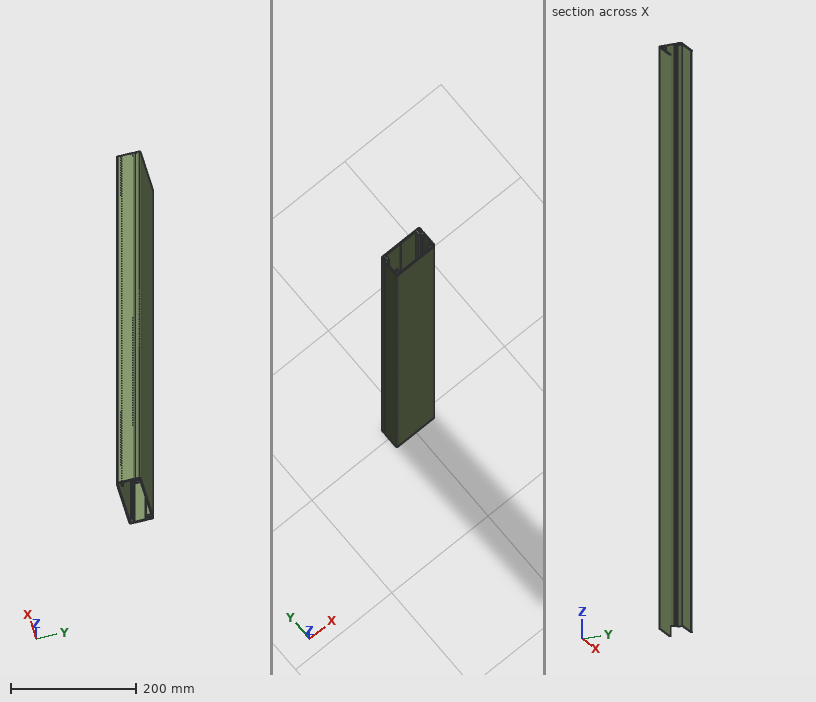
import cadquery as cq

WIDTH = 80.0
DEPTH = 40.0
LENGTH = 1000.0

WALL = 2.0
EDGE_RADIUS = 3.0
HALF_WIDTH = WIDTH / 2
BACK_Y = DEPTH / 2
FRONT_Y = -DEPTH / 2
INNER_X = HALF_WIDTH - WALL

COVER_LEG = 9.0
BEVEL_LENGTH = 3.0
BEVEL_DEPTH = 0.5
JOINT_Y = BACK_Y - COVER_LEG

RIM_WIDTH = 3.0
RIM_TOP_Y = BACK_Y - WALL
RIM_BOTTOM_Y = 7.0
RIM_X = INNER_X - RIM_WIDTH

INNER_LEG_WIDTH = 4.0
INNER_LEG_BOTTOM_Y = 10.0

CENTRE_GROOVE_WIDTH = 1.0
CENTRE_GROOVE_DEPTH = 1.0

LEDGE_WIDTH = 7.0
LEDGE_THICKNESS = 2.0
LEDGE_TOP_Y = -11.0


def bar(x_min, x_max, y_min, y_max):
    """Full-length rectangular bar between the given X and Y limits."""
    return (
        cq.Workplane("XY")
        .box(x_max - x_min, y_max - y_min, LENGTH, centered=False)
        .translate((x_min, y_min, -LENGTH / 2))
    )


def prism(points):
    """Full-length prism with the given XY outline."""
    return cq.Workplane("XY").workplane(offset=-LENGTH / 2).polyline(points).close().extrude(LENGTH)


def both_sides(shape):
    """The shape together with its mirror image across X = 0."""
    return shape.union(shape.mirror("YZ"))


def make_joint_groove():
    """V groove along both sides, shared by the cover legs and the channel sides."""
    return both_sides(prism([
        (HALF_WIDTH, JOINT_Y - BEVEL_LENGTH),
        (HALF_WIDTH - BEVEL_DEPTH, JOINT_Y),
        (HALF_WIDTH, JOINT_Y + BEVEL_LENGTH),
    ]))


def make_centre_groove():
    """V groove on the centreline of the cover's inner face."""
    return prism([
        (-CENTRE_GROOVE_WIDTH / 2, RIM_TOP_Y),
        (CENTRE_GROOVE_WIDTH / 2, RIM_TOP_Y),
        (0, RIM_TOP_Y + CENTRE_GROOVE_DEPTH),
    ])


def make_channel():
    """Open channel with side ledges and thickened rims."""
    outside = bar(-HALF_WIDTH, HALF_WIDTH, FRONT_Y, JOINT_Y).edges("|Z and <Y").fillet(EDGE_RADIUS)
    cavity = bar(-INNER_X, INNER_X, FRONT_Y + WALL, JOINT_Y)
    ledge = bar(INNER_X - LEDGE_WIDTH, INNER_X, LEDGE_TOP_Y - LEDGE_THICKNESS, LEDGE_TOP_Y)
    rim = bar(RIM_X, INNER_X, RIM_BOTTOM_Y, RIM_TOP_Y)
    return (
        outside.cut(cavity)
        .union(both_sides(ledge))
        .union(both_sides(rim))
        .cut(make_joint_groove())
    )


def make_cover():
    """Back cover whose outer and inner legs grip both channel rims between them."""
    outside = bar(-HALF_WIDTH, HALF_WIDTH, JOINT_Y, BACK_Y).edges("|Z and >Y").fillet(EDGE_RADIUS)
    inside = bar(-INNER_X, INNER_X, JOINT_Y, RIM_TOP_Y)
    inner_leg = bar(RIM_X - INNER_LEG_WIDTH, RIM_X, INNER_LEG_BOTTOM_Y, RIM_TOP_Y)
    return (
        outside.cut(inside)
        .union(both_sides(inner_leg))
        .cut(make_joint_groove())
        .cut(make_centre_groove())
    )


channel = make_channel()
cover = make_cover()
result = cq.Compound.makeCompound([channel.val(), cover.val()])